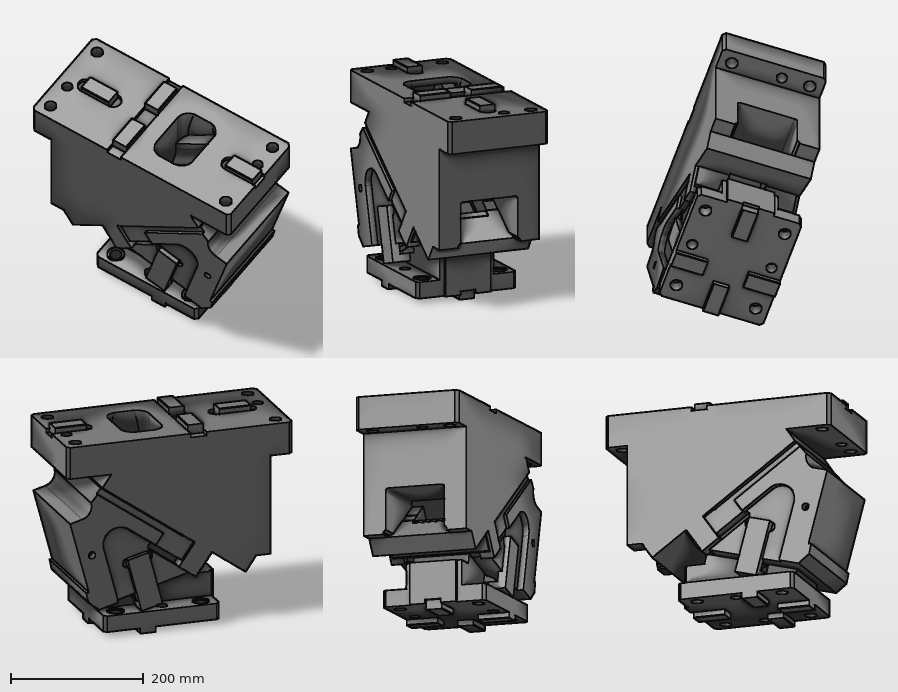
import cadquery as cq
import math


width = 165.0
half_width = width / 2
corner_chamfer = 5.0

key_length = 50.0
key_width = 25.0
key_height = 8.7
key_seat_depth = 6.0
key_edge_chamfer = 1.0

plate_length = 360.0
plate_thickness = 50.0
overall_height = 318.0
plate_top = overall_height - key_height
plate_bottom = plate_top - plate_thickness
cross_key_x = 150.0
cross_key_y = 42.5
left_key_x = 67.0
right_key_x = 329.5
bolt_hole = 18.0
dowel_hole = 16.0
bolt_inset_x = 20.0
bolt_y = 62.0
left_dowel_y = -17.5
right_dowel_y = 22.5

slide_angle = 35.0
way_origin = (75.0, 79.0)
way_length = 279.3
way_plate_thickness = 29.4
running_gap = 0.7
relief_gap = 1.9
relief_start = 119.0

body_left = 35.0
claw_start = 66.0
claw_end = 99.0
claw_depth = 44.5
claw_inner_y = 61.0

opening_half_width = 47.2
opening_top = 173.7
opening_radius = 5.0
mouth_half_width = 51.0
mouth_bevel_z = 110.0
opening_end_u = 109.0
floor_dip_start = 59.3
floor_dip_end = 77.6
floor_dip = 1.0
slot_half_width = 29.0
stop_depth = 7.0
stop_length = 20.0
notch_half_width = 27.5
notch_start_u = 49.0
notch_depth = 1.5

window_x = 223.0
window_length = 65.5
window_width = 95.0
window_radius = 20.0
window_rim_depth = 10.0
window_draft = 3.5
window_draft_z = 270.0
window_undercut = 24.0
window_floor_w = 74.0
groove_radius = 23.5
groove_axis_w = 63.5

flange_start = 63.0
flange_bottom = -34.2
flange_half_width = 77.8
flange_corner = 3.0
neck_start = 75.4
cheek_start = 151.6
cheek_top = -12.4
claw_groove_bottom = -45.3
claw_groove_end = 157.0
neck_half_width = 60.0

driver_angle = -15.0
slider_toe = 152.0
nose_points = [(164.7, 17.0), (163.9, 33.0), (159.6, 33.0)]
nose_top = 149.0
relief_centre = (139.5, 169.0)
relief_radius = 20.0
recess_half_width = 72.5
recess_end = 119.6
recess_radius = 25.0
cheek_hole = 10.5
cheek_hole_depth = 15.0
cheek_hole_cone = 3.0
cheek_hole_at = (320.5, 133.9)

strap_start = 53.3
strap_width = 34.7
strap_top = 58.0
strap_bottom = -28.2
strap_outer_y = 80.5
strap_inner_y = 66.9
hook_inner_y = 51.5
hook_top = -16.5
strap_seat_height = 15.0
strap_seat_length = 48.5

base_left = 116.0
base_right = 301.0
base_bottom = key_height
base_top = 34.2
tongue_left = 111.0
block_shoulder = 72.5
block_half_width = 44.4
tongue_half_width = 37.2
block_start = -14.2
block_end = 135.5
block_top = -1.0
wing_half_width = 62.6
wing_root_top = -3.0
wing_tip_top = -12.0
wing_bottom = hook_top
base_bolt_xs = (140.0, 276.0)
base_dowel_x = 202.0
base_hole_y = 63.0
counterbore = 26.0
counterbore_depth = 2.0
driver_cross_key_x = 231.0
driver_cross_key_y = 57.5

far = 400.0


def frame(origin, angle):
    """XZ plane at Y = 0 whose local x runs along the inclined way."""
    a = math.radians(angle)
    return cq.Plane(
        origin=(origin[0], 0, origin[1]),
        xDir=(math.cos(a), 0, math.sin(a)),
        normal=(0, -1, 0),
    )


slide_frame = frame(way_origin, slide_angle)


def slide_point(u, w):
    """World (X, Z) of a point of the slide frame."""
    p = slide_frame.toWorldCoords((u, w))
    return (p.x, p.z)


driver_origin = slide_point(neck_start, claw_groove_bottom)
driver_frame = frame(driver_origin, driver_angle)


def driver_point(s, t):
    """World (X, Z) of a point of the driver frame."""
    p = driver_frame.toWorldCoords((s, t))
    return (p.x, p.z)


def symmetric(plane, points, half):
    """Prism of a closed outline, reaching to y = -half and y = +half."""
    return cq.Workplane(plane).polyline(points).close().extrude(half, both=True)


def flanks(plane, points, inner, outer):
    """Two prisms of a closed outline, one on each side, for inner < |y| < outer."""
    return symmetric(plane, points, outer).cut(symmetric(plane, points, inner))


def rectangle(x0, x1, y0, y1):
    return [(x0, y0), (x1, y0), (x1, y1), (x0, y1)]


def box(x0, x1, y0, y1, z0, z1):
    return cq.Workplane("XY").box(x1 - x0, y1 - y0, z1 - z0, centered=False).translate((x0, y0, z0))


def upright_holes(points, diameter, bottom, top):
    start = cq.Workplane("XY", origin=(0, 0, bottom))
    return start.pushPoints(points).circle(diameter / 2).extrude(top - bottom)


def key(x, y, along, bottom, top, free_edge):
    """Key bar whose long edges are chamfered on its free face (">Z" or "<Z")."""
    x_size, y_size = (key_length, key_width) if along == "X" else (key_width, key_length)
    bar = box(x - x_size / 2, x + x_size / 2, y - y_size / 2, y + y_size / 2, bottom, top)
    return bar.faces(free_edge).edges("|" + along).chamfer(key_edge_chamfer)


def holder_blank():
    plate = box(0, plate_length, -half_width, half_width, plate_bottom, plate_top)
    plate = plate.edges("|Z").chamfer(corner_chamfer)
    cosine = math.cos(math.radians(slide_angle))
    heel = slide_point(0, way_plate_thickness)
    end_rise = (plate_bottom - slide_point(way_length, 0)[1]) / cosine
    profile = [
        (body_left, plate_bottom),
        (body_left, heel[1]),
        heel,
        way_origin,
        slide_point(way_length, 0),
        slide_point(way_length, end_rise),
    ]
    return plate.union(symmetric("XZ", profile, half_width))


def claws():
    """Claws on both flanks that reach down around the slider flange and grip it from below."""
    claw = flanks(slide_frame, rectangle(claw_start, claw_end, -claw_depth, 0), claw_inner_y, half_width)
    channel = rectangle(0, way_length, flange_bottom, 0)
    return claw.cut(symmetric(slide_frame, channel, flange_half_width))


def side_opening():
    """Opening in the left wall, whose floor is parallel to the way, with a slot through the way plate."""
    lintel = box(0, far, -opening_half_width, opening_half_width, 0, opening_top)
    lintel = lintel.edges("|X and >Z").fillet(opening_radius)
    bevel = mouth_half_width - opening_half_width
    mouth = (
        cq.Workplane("YZ")
        .polyline([
            (-mouth_half_width, 0),
            (mouth_half_width, 0),
            (mouth_half_width, mouth_bevel_z - bevel),
            (opening_half_width, mouth_bevel_z),
            (-opening_half_width, mouth_bevel_z),
            (-mouth_half_width, mouth_bevel_z - bevel),
        ])
        .close()
        .extrude(far)
    )

    def above(start, end, floor_w, half):
        return symmetric(slide_frame, rectangle(start, end, floor_w, far), half)

    dip_floor = way_plate_thickness - floor_dip
    space = above(-far, opening_end_u, way_plate_thickness, half_width)
    space = space.union(above(floor_dip_start, floor_dip_end, dip_floor, half_width))
    notch_floor = way_plate_thickness - notch_depth
    space = space.union(above(notch_start_u, floor_dip_start, notch_floor, notch_half_width))
    slot = above(floor_dip_start, opening_end_u, 0, slot_half_width)
    return lintel.union(mouth).intersect(space.union(slot))


def stop_tongue():
    """Tongue that continues the end wall of the opening down into the slider."""
    outline = rectangle(opening_end_u, opening_end_u + stop_length, -stop_depth, 0)
    return symmetric(slide_frame, outline, slot_half_width)


def window():
    """Rounded window with drafted sides over an inclined floor and a round-bottomed groove."""
    left = window_x - window_length / 2
    right = window_x + window_length / 2
    half = window_width / 2
    low_half = half - window_draft
    shaft = box(left, right, -half, half, 0, plate_top).edges("|Z").fillet(window_radius)
    section = [
        (-low_half, 0),
        (low_half, 0),
        (low_half, window_draft_z),
        (half, plate_top),
        (-half, plate_top),
        (-low_half, window_draft_z),
    ]
    shaft = shaft.intersect(cq.Workplane("YZ").polyline(section).close().extrude(far))
    undercut = box(
        right - window_radius, right + window_undercut, -low_half, low_half, 0, plate_top - window_rim_depth
    )
    floor = symmetric(slide_frame, rectangle(0, far, window_floor_w, far), half_width)
    groove = symmetric(slide_frame, rectangle(0, far, groove_axis_w, far), groove_radius)
    bore = cq.Workplane("YZ").circle(groove_radius).extrude(far)
    bore = bore.rotate((0, 0, 0), (0, 1, 0), -slide_angle)
    axis = slide_point(0, groove_axis_w)
    bore = bore.translate((axis[0], 0, axis[1]))
    return shaft.union(undercut).intersect(floor.union(groove).union(bore))


def holder_key_seats():
    seat_bottom = plate_top - key_seat_depth
    cross_slot = box(
        cross_key_x - key_width / 2, cross_key_x + key_width / 2, -far, far, seat_bottom, plate_top
    )
    seats = cross_slot
    for x in (left_key_x, right_key_x):
        slot = cq.Workplane("XY", origin=(x, 0, seat_bottom))
        seats = seats.union(slot.slot2D(key_length + key_width, key_width).extrude(key_seat_depth))
    open_end = box(right_key_x, plate_length, -key_width / 2, key_width / 2, seat_bottom, plate_top)
    return seats.union(open_end)


def build_holder():
    body = holder_blank().union(claws()).union(stop_tongue())
    body = body.cut(side_opening()).cut(window()).cut(holder_key_seats())
    right_x = plate_length - bolt_inset_x
    bolts = [(x, y) for x in (bolt_inset_x, right_x) for y in (-bolt_y, bolt_y)]
    dowels = [(bolt_inset_x, left_dowel_y), (right_x, right_dowel_y)]
    body = body.cut(upright_holes(bolts, bolt_hole, plate_bottom, plate_top))
    body = body.cut(upright_holes(dowels, dowel_hole, plate_bottom, plate_top))
    seat_bottom = plate_top - key_seat_depth
    key_top = plate_top + key_height
    for y in (-cross_key_y, cross_key_y):
        body = body.union(key(cross_key_x, y, "Y", seat_bottom, key_top, ">Z"))
    for x in (left_key_x, right_key_x):
        body = body.union(key(x, 0, "X", seat_bottom, key_top, ">Z"))
    return body


def slider_blank():
    diagonal = relief_radius * math.sqrt(0.5)
    relief_middle = driver_point(relief_centre[0] - diagonal, relief_centre[1] - diagonal)
    relief_low = driver_point(relief_centre[0], nose_top)
    relief_high = driver_point(relief_centre[0] - relief_radius, relief_centre[1])
    outline = (
        cq.Workplane("XZ")
        .moveTo(*slide_point(flange_start, -running_gap))
        .lineTo(*slide_point(flange_start, flange_bottom + flange_corner))
        .lineTo(*slide_point(flange_start + flange_corner, flange_bottom))
        .lineTo(*slide_point(neck_start, flange_bottom))
        .lineTo(*driver_origin)
        .lineTo(*driver_point(slider_toe, 0))
    )
    for point in nose_points:
        outline = outline.lineTo(*driver_point(*point))
    outline = (
        outline.lineTo(*driver_point(nose_points[-1][0], nose_top))
        .lineTo(*relief_low)
        .threePointArc(relief_middle, relief_high)
        .lineTo(*slide_point(way_length, -relief_gap))
        .lineTo(*slide_point(relief_start, -relief_gap))
        .lineTo(*slide_point(relief_start, -running_gap))
        .close()
    )
    return outline.extrude(half_width, both=True)


def flank_recess():
    """Pocket in each cheek, bounded by the flange line, a rounded corner and the driver way."""
    upper = symmetric(slide_frame, rectangle(-far, far, -far, flange_bottom), far)
    lower = symmetric(driver_frame, rectangle(-far, recess_end, -far, far), far)
    shape = upper.intersect(lower)
    shape = shape.edges("|Y and >Z").fillet(recess_radius)
    return shape.cut(symmetric(slide_frame, rectangle(-2 * far, 2 * far, -2 * far, far), recess_half_width))


def flange_steps():
    """Stock taken off both flanks so that the flange and the band above the cheeks are narrower."""
    band = flanks(slide_frame, rectangle(0, far, cheek_top, far), flange_half_width, far)
    flange = flanks(slide_frame, rectangle(0, cheek_start, flange_bottom, far), flange_half_width, far)
    return band.union(flange)


def claw_grooves():
    radius = (flange_bottom - claw_groove_bottom) / 2
    end_centre = claw_groove_end - radius
    shape = symmetric(slide_frame, rectangle(0, end_centre, claw_groove_bottom, flange_bottom), far)
    end = cq.Workplane(slide_frame).center(end_centre, claw_groove_bottom + radius)
    shape = shape.union(end.circle(radius).extrude(far, both=True))
    return shape.cut(symmetric(slide_frame, rectangle(-far, far, -far, far), neck_half_width))


def stop_pocket():
    """Open-ended pocket in the slider top for the stop tongue of the holder."""
    outline = rectangle(0, opening_end_u + stop_length, -stop_depth, 0)
    return symmetric(slide_frame, outline, slot_half_width)


def strap_seats():
    seat = (
        cq.Workplane(driver_frame)
        .center(strap_start + strap_width / 2, strap_top - strap_seat_height / 2)
        .slot2D(strap_seat_length, strap_seat_height)
        .extrude(recess_half_width, both=True)
    )
    return seat.cut(box(0, far, -strap_inner_y, strap_inner_y, 0, far))


def straps():
    strap_end = strap_start + strap_width
    web = flanks(
        driver_frame, rectangle(strap_start, strap_end, strap_bottom, strap_top), strap_inner_y, strap_outer_y
    )
    hook = flanks(
        driver_frame, rectangle(strap_start, strap_end, strap_bottom, hook_top), hook_inner_y, strap_outer_y
    )
    return web.union(hook)


def cheek_holes():
    """Blind hole with a conical bottom, drilled square into each cheek."""
    x, z = cheek_hole_at
    radius = cheek_hole / 2
    profile = [
        (0, half_width),
        (radius, half_width),
        (radius, half_width - cheek_hole_depth),
        (0, half_width - cheek_hole_depth - cheek_hole_cone),
    ]
    drill = cq.Workplane("XY").polyline(profile).close().revolve(360, (0, 0), (0, 1))
    return drill.union(drill.mirror("XZ")).translate((x, 0, z))


def build_slider():
    body = slider_blank().cut(flange_steps()).cut(flank_recess()).cut(claw_grooves())
    body = body.cut(strap_seats()).cut(stop_pocket()).cut(cheek_holes())
    return body.union(straps())


def driver_at_height(s, z):
    """X where the line of constant s in the driver frame passes the height z."""
    foot = driver_point(s, 0)
    return foot[0] + (foot[1] - z) * math.tan(math.radians(driver_angle))


def driver_block():
    profile = [
        (base_left, base_bottom),
        (base_left, block_shoulder),
        (driver_at_height(block_start, block_shoulder), block_shoulder),
        driver_point(block_start, block_top),
        driver_point(block_end, block_top),
        (driver_at_height(block_end, base_top), base_top),
        (driver_at_height(block_end, base_top), base_bottom),
    ]
    block = symmetric("XZ", profile, block_half_width)
    tongue = box(tongue_left, base_left, -tongue_half_width, tongue_half_width, base_bottom, block_shoulder)
    return block.union(tongue)


def wings():
    """Lips on both sides of the block, under which the strap hooks engage."""
    section = [
        (-block_half_width, wing_root_top),
        (-wing_half_width, wing_tip_top),
        (-wing_half_width, wing_bottom),
        (wing_half_width, wing_bottom),
        (wing_half_width, wing_tip_top),
        (block_half_width, wing_root_top),
    ]
    foot = driver_point(strap_start, 0)
    a = math.radians(driver_angle)
    plane = cq.Plane(
        origin=(foot[0], 0, foot[1]), xDir=(0, 1, 0), normal=(math.cos(a), 0, math.sin(a))
    )
    return cq.Workplane(plane).polyline(section).close().extrude(strap_width)


def build_driver():
    base = box(base_left, base_right, -half_width, half_width, base_bottom, base_top)
    body = base.edges("|Z").chamfer(corner_chamfer).union(driver_block()).union(wings())
    bolts = [(x, y) for x in base_bolt_xs for y in (-base_hole_y, base_hole_y)]
    dowels = [(base_dowel_x, y) for y in (-base_hole_y, base_hole_y)]
    body = body.cut(upright_holes(bolts, bolt_hole, base_bottom, base_top))
    body = body.cut(upright_holes(bolts, counterbore, base_top - counterbore_depth, base_top))
    body = body.cut(upright_holes(dowels, dowel_hole, base_bottom, base_top))
    seat_top = base_bottom + key_seat_depth
    body = body.cut(box(tongue_left, base_left, -key_width / 2, key_width / 2, base_bottom, seat_top))
    for x in (base_left + key_length / 2, base_right - key_length / 2):
        body = body.union(key(x, 0, "X", 0, seat_top, "<Z"))
    for y in (-driver_cross_key_y, driver_cross_key_y):
        body = body.union(key(driver_cross_key_x, y, "Y", 0, seat_top, "<Z"))
    return body


holder = build_holder()
slider = build_slider()
driver = build_driver()

result = cq.Compound.makeCompound([holder.solids().val(), slider.solids().val(), driver.solids().val()])